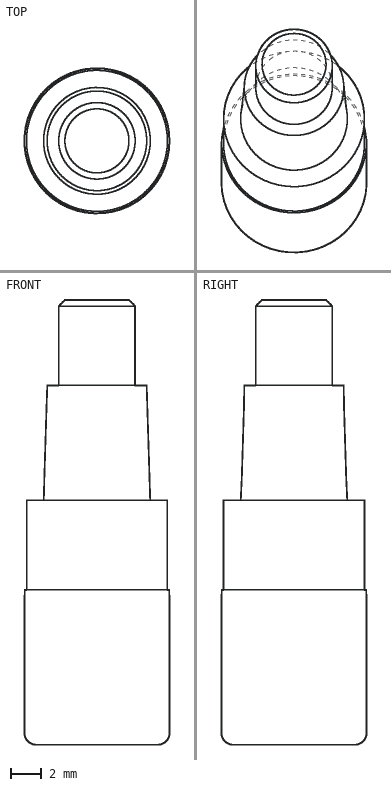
import cadquery as cq

collar_diameter = 9.52
collar_lead_in_diameter = 9.45
neck_diameter = 9.22
housing_height = 16.0
collar_height = 10.13
lead_in_height = 0.6
bottom_fillet = 0.8

taper_base_diameter = 6.98
taper_top_diameter = 6.52
tip_diameter = 5.0
taper_top_height = 23.5
overall_height = 29.1
tip_chamfer = 0.4

def make_housing():
    """Turned body with a rounded bottom edge and a slightly conical lead-in on the collar."""
    profile = (
        cq.Workplane("XZ")
        .lineTo(collar_diameter / 2, 0)
        .lineTo(collar_diameter / 2, collar_height - lead_in_height)
        .lineTo(collar_lead_in_diameter / 2, collar_height)
        .lineTo(neck_diameter / 2, collar_height)
        .lineTo(neck_diameter / 2, housing_height)
        .lineTo(0, housing_height)
        .close()
    )
    body = profile.revolve(360, (0, 0, 0), (0, 1, 0))
    return body.faces("<Z").edges().fillet(bottom_fillet)

def make_plunger():
    """Turned plunger: tapered shank below, cylindrical tip with a chamfered end above."""
    profile = (
        cq.Workplane("XZ")
        .moveTo(0, housing_height)
        .lineTo(taper_base_diameter / 2, housing_height)
        .lineTo(taper_top_diameter / 2, taper_top_height)
        .lineTo(tip_diameter / 2, taper_top_height)
        .lineTo(tip_diameter / 2, overall_height)
        .lineTo(0, overall_height)
        .close()
    )
    body = profile.revolve(360, (0, 0, 0), (0, 1, 0))
    return body.faces(">Z").edges().chamfer(tip_chamfer)

housing = make_housing()
plunger = make_plunger()

result = cq.Compound.makeCompound([housing.val(), plunger.val()])